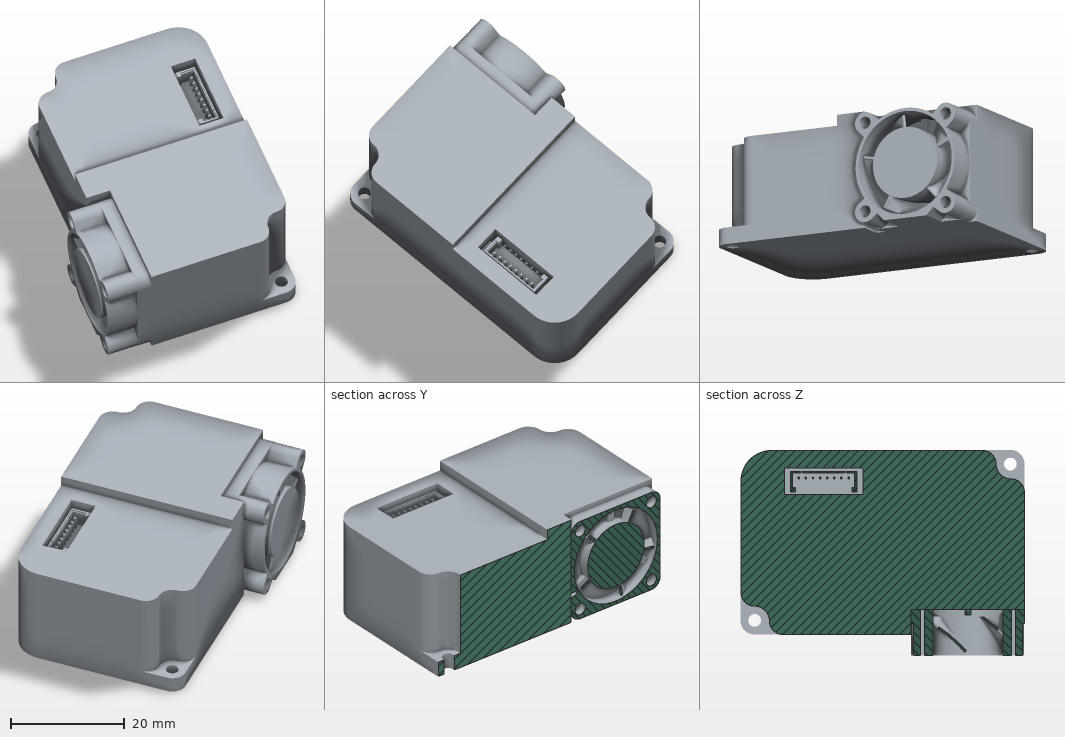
import cadquery as cq
import math

LENGTH = 50.0
WIDTH = 32.5
LOW_HEIGHT = 19.0
HIGH_HEIGHT = 21.0
STEP_X = 24.55
LARGE_CORNER_RADIUS = 5.5
SMALL_CORNER_RADIUS = 2.5
MOUNT_HOLE_DIAMETER = 2.25
EAR_HEIGHT = 3.0

FAN_SIZE = 20.0
FAN_DEPTH = 8.1
FAN_SEAT_DEPTH = 4.45
FLANGE_THICKNESS = 2.5
FAN_HOLE_SPACING = 16.0
FAN_HOLE_DIAMETER = 2.2
BORE_DIAMETER = 18.55
SHROUD_DIAMETER = 19.7
HUB_DIAMETER = 12.8
POST_RADIUS = 1.95
UPPER_WEB_ANGLE = 45.0
LOWER_WEB_ANGLE = 38.0
WEB_LENGTH = 5.0
FOOT_WIDTH = 8.4
FOOT_HEIGHT = 1.4
SPOKE_COUNT = 3
FIRST_SPOKE_ANGLE = 90.0
SPOKE_WIDTH = 1.2
SPOKE_THICKNESS = 1.0
BLADE_COUNT = 5
BLADE_TIP_RADIUS = 8.75
BLADE_EDGE_WIDTH = 0.55
BLADE_SWEEP = 47.0
BLADE_FRONT_GAP = 0.9
BLADE_DEPTH = 5.9
BLADE_ROOT_OVERLAP = 0.25
LEAD_SLOT_TOP = 5.95
LEAD_SLOT_RADIUS = 3.5

FAN_CORNER_RADIUS = (FAN_SIZE - FAN_HOLE_SPACING) / 2
FAN_CENTRE_X = LENGTH - FAN_SIZE / 2
FAN_CENTRE_Z = FAN_SIZE / 2

CONNECTOR_X = 14.6
POCKET_LENGTH = 13.7
POCKET_WIDTH = 4.6
POCKET_BACK_GAP = 3.2
POCKET_DEPTH = 5.0
SHELL_LENGTH = 11.8
SHELL_WIDTH = 3.75
SHELL_BACK_GAP = 0.5
SHELL_RECESS = 1.0
CAVITY_DEPTH = 3.0
END_WALL = 0.5
BACK_WALL = 0.35
END_RIM_WIDTH = 0.3
BACK_RIM_WIDTH = 0.2
RIM_DEPTH = 0.25
FRONT_LEDGE_WIDTH = 0.15
FRONT_OPENING_LENGTH = 9.85
CORNER_LIP_WIDTH = 0.9
KEY_GROOVE_SPACING = 7.75
KEY_GROOVE_WIDTH = 0.25
KEY_GROOVE_DEPTH = 0.2
WING_WIDTH = 2.8
WING_HEIGHT = 2.0
PIN_COUNT = 8
PIN_PITCH = 1.25
PIN_WIDTH = 0.35
PIN_LENGTH = 0.5
PIN_TIP_CHAMFER = 0.2
PIN_BACK_GAP = 1.2
PIN_TOP_RECESS = 0.6
TAIL_HEIGHT = 1.5

POCKET_FLOOR_Z = LOW_HEIGHT - POCKET_DEPTH
POCKET_BACK_Y = WIDTH - POCKET_BACK_GAP
POCKET_FRONT_Y = POCKET_BACK_Y - POCKET_WIDTH
SHELL_TOP_Z = LOW_HEIGHT - SHELL_RECESS
SHELL_BACK_Y = POCKET_BACK_Y - SHELL_BACK_GAP
SHELL_FRONT_Y = SHELL_BACK_Y - SHELL_WIDTH
CAVITY_FLOOR_Z = SHELL_TOP_Z - CAVITY_DEPTH


def box_between(x_range, y_range, z_range):
    """Box given by its lower and upper limits along each axis."""
    sizes = [high - low for low, high in (x_range, y_range, z_range)]
    corner = (x_range[0], y_range[0], z_range[0])
    return cq.Workplane("XY").box(*sizes, centered=False).translate(corner)


def centred_range(centre, size):
    return (centre - size / 2, centre + size / 2)


def corner_relief():
    """Wavy cutter over the mounting ear at the origin corner: concave round the hole, convex at both ends."""
    r = SMALL_CORNER_RADIUS
    diagonal = r * math.sqrt(0.5)
    return (
        cq.Workplane("XY", origin=(0, 0, EAR_HEIGHT))
        .moveTo(0, 3 * r)
        .threePointArc((r - diagonal, 3 * r - diagonal), (r, 2 * r))
        .threePointArc((r + diagonal, r + diagonal), (2 * r, r))
        .threePointArc((3 * r - diagonal, r - diagonal), (3 * r, 0))
        .lineTo(0, 0)
        .close()
        .extrude(HIGH_HEIGHT - EAR_HEIGHT)
    )


def make_housing():
    body = box_between((0, LENGTH), (0, WIDTH), (0, HIGH_HEIGHT))
    body = body.edges("|Z and <X and >Y").fillet(LARGE_CORNER_RADIUS)
    for corner in ("<X and <Y", ">X and >Y"):
        body = body.edges("|Z").edges(corner).fillet(SMALL_CORNER_RADIUS)
    body = body.cut(box_between((0, STEP_X), (0, WIDTH), (LOW_HEIGHT, HIGH_HEIGHT)))

    relief = corner_relief()
    opposite_relief = relief.rotate((0, 0, 0), (0, 0, 1), 180).translate((LENGTH, WIDTH, 0))
    body = body.cut(relief).cut(opposite_relief)

    inset = SMALL_CORNER_RADIUS
    mount_holes = (
        cq.Workplane("XY")
        .pushPoints([(inset, inset), (LENGTH - inset, WIDTH - inset)])
        .circle(MOUNT_HOLE_DIAMETER / 2)
        .extrude(HIGH_HEIGHT)
    )
    fan_seat = box_between((LENGTH - FAN_SIZE, LENGTH), (0, FAN_SEAT_DEPTH), (0, HIGH_HEIGHT))
    connector_pocket = box_between(
        centred_range(CONNECTOR_X, POCKET_LENGTH),
        (POCKET_FRONT_Y, POCKET_BACK_Y),
        (POCKET_FLOOR_Z, LOW_HEIGHT),
    )
    return body.cut(mount_holes).cut(fan_seat).cut(connector_pocket)


def fan_plane(height=0.0):
    """Sketch plane across the fan axis, at a height above the back of the fan, facing the front."""
    return cq.Workplane("XZ", origin=(FAN_CENTRE_X, FAN_SEAT_DEPTH - height, FAN_CENTRE_Z))


def spin(shape, angle):
    """Turn a shape about the fan axis, counter-clockwise as seen from the front."""
    axis_start = (FAN_CENTRE_X, 0, FAN_CENTRE_Z)
    axis_end = (FAN_CENTRE_X, -1, FAN_CENTRE_Z)
    return shape.rotate(axis_start, axis_end, angle)


def make_flange():
    flange = fan_plane().rect(FAN_SIZE, FAN_SIZE).extrude(FLANGE_THICKNESS)
    flange = flange.edges("|Y").fillet(FAN_CORNER_RADIUS)
    half_spacing = FAN_HOLE_SPACING / 2
    slot_height = LEAD_SLOT_TOP - FAN_CORNER_RADIUS
    slot = (
        fan_plane()
        .rect(half_spacing, slot_height, centered=False)
        .extrude(FLANGE_THICKNESS)
        .translate((-FAN_SIZE / 2, 0, -half_spacing))
    )
    corner_disc = fan_plane().center(-half_spacing, -half_spacing).circle(LEAD_SLOT_RADIUS)
    return flange.cut(slot.cut(corner_disc.extrude(FLANGE_THICKNESS)))


def make_posts():
    """Round corner posts, each joined to the shroud by a web as wide as the post."""
    half_spacing = FAN_HOLE_SPACING / 2
    posts = cq.Workplane("XZ")
    for side_z, angle in ((1, UPPER_WEB_ANGLE), (-1, LOWER_WEB_ANGLE)):
        for side_x in (-1, 1):
            direction = math.radians(angle)
            run = -side_x * math.cos(direction)
            rise = -side_z * math.sin(direction)
            turn = math.degrees(math.atan2(rise, run))
            post_x = side_x * half_spacing
            post_z = side_z * half_spacing
            post = fan_plane().center(post_x, post_z).circle(POST_RADIUS).extrude(FAN_DEPTH)
            web = (
                fan_plane()
                .transformed(offset=(post_x, post_z, 0), rotate=(0, 0, turn))
                .center(WEB_LENGTH / 2, 0)
                .rect(WEB_LENGTH, 2 * POST_RADIUS)
                .extrude(FAN_DEPTH)
            )
            posts = posts.add(post).add(web)
    return posts.combine()


def make_foot():
    """Flat-bottomed block under the shroud, with sides that spread upward at 45 degrees."""
    bottom = -FAN_SIZE / 2
    half_width = FOOT_WIDTH / 2
    return (
        fan_plane()
        .moveTo(-half_width, bottom)
        .lineTo(half_width, bottom)
        .lineTo(half_width + FOOT_HEIGHT, bottom + FOOT_HEIGHT)
        .lineTo(0, 0)
        .lineTo(-half_width - FOOT_HEIGHT, bottom + FOOT_HEIGHT)
        .close()
        .extrude(FAN_DEPTH)
    )


def make_frame():
    frame = fan_plane().circle(SHROUD_DIAMETER / 2).extrude(FAN_DEPTH)
    frame = frame.union(make_flange()).union(make_posts()).union(make_foot())
    bore = fan_plane().circle(BORE_DIAMETER / 2).extrude(FAN_DEPTH)
    corner_holes = (
        fan_plane()
        .rect(FAN_HOLE_SPACING, FAN_HOLE_SPACING, forConstruction=True)
        .vertices()
        .circle(FAN_HOLE_DIAMETER / 2)
        .extrude(FAN_DEPTH)
    )
    return frame.cut(bore).cut(corner_holes)


def make_blade():
    """Helical blade with a round leading edge; the front of its trailing edge points along +X."""
    root_radius = HUB_DIAMETER / 2 - BLADE_ROOT_OVERLAP
    span = BLADE_TIP_RADIUS - root_radius
    leading_height = FAN_DEPTH - BLADE_FRONT_GAP
    blade = (
        fan_plane(leading_height - BLADE_DEPTH)
        .moveTo(root_radius, 0)
        .hLineTo(BLADE_TIP_RADIUS)
        .vLine(-BLADE_EDGE_WIDTH)
        .hLineTo(root_radius)
        .close()
        .twistExtrude(BLADE_DEPTH, -BLADE_SWEEP)
    )
    edge_start = (
        FAN_CENTRE_X + root_radius,
        FAN_SEAT_DEPTH - leading_height,
        FAN_CENTRE_Z - BLADE_EDGE_WIDTH / 2,
    )
    edge = cq.Workplane("YZ", origin=edge_start).circle(BLADE_EDGE_WIDTH / 2).extrude(span)
    return blade.union(spin(edge, -BLADE_SWEEP))


def make_fan():
    fan = make_frame()
    fan = fan.union(fan_plane().circle(HUB_DIAMETER / 2).extrude(FAN_DEPTH))
    spoke_length = (BORE_DIAMETER + SHROUD_DIAMETER) / 4
    spoke = fan_plane().center(spoke_length / 2, 0).rect(spoke_length, SPOKE_WIDTH).extrude(SPOKE_THICKNESS)
    for i in range(SPOKE_COUNT):
        fan = fan.union(spin(spoke, FIRST_SPOKE_ANGLE + i * 360 / SPOKE_COUNT))
    blade = make_blade()
    for i in range(BLADE_COUNT):
        fan = fan.union(spin(blade, i * 360 / BLADE_COUNT))
    return fan


def make_shell():
    """Open-topped shell with a rebated rim, a wide front opening and two key grooves."""
    shell = box_between(
        centred_range(CONNECTOR_X, SHELL_LENGTH),
        (SHELL_FRONT_Y, SHELL_BACK_Y),
        (POCKET_FLOOR_Z, SHELL_TOP_Z),
    )
    lip_back_y = SHELL_FRONT_Y + CORNER_LIP_WIDTH
    cavity_back_y = SHELL_BACK_Y - BACK_WALL
    cavity_z = (CAVITY_FLOOR_Z, SHELL_TOP_Z)
    cavity = box_between(
        centred_range(CONNECTOR_X, SHELL_LENGTH - 2 * END_WALL),
        (lip_back_y, cavity_back_y),
        cavity_z,
    )
    front_opening = box_between(
        centred_range(CONNECTOR_X, FRONT_OPENING_LENGTH),
        (SHELL_FRONT_Y, lip_back_y),
        cavity_z,
    )
    rim = box_between(
        centred_range(CONNECTOR_X, SHELL_LENGTH - 2 * END_RIM_WIDTH),
        (lip_back_y, SHELL_BACK_Y - BACK_RIM_WIDTH),
        (SHELL_TOP_Z - RIM_DEPTH, SHELL_TOP_Z),
    )
    front_ledge = box_between(
        centred_range(CONNECTOR_X, SHELL_LENGTH),
        (SHELL_FRONT_Y, SHELL_FRONT_Y + FRONT_LEDGE_WIDTH),
        (SHELL_TOP_Z - RIM_DEPTH, SHELL_TOP_Z),
    )
    shell = shell.cut(cavity).cut(front_opening).cut(rim).cut(front_ledge)
    for side in (-1, 1):
        groove_x = CONNECTOR_X + side * KEY_GROOVE_SPACING / 2
        groove = box_between(
            centred_range(groove_x, KEY_GROOVE_WIDTH),
            (cavity_back_y, cavity_back_y + KEY_GROOVE_DEPTH),
            cavity_z,
        )
        shell = shell.cut(groove)
    return shell


def make_connector():
    connector = make_shell()
    wing_length = (POCKET_LENGTH - SHELL_LENGTH) / 2
    for side in (-1, 1):
        wing_x = CONNECTOR_X + side * (SHELL_LENGTH + wing_length) / 2
        wing = box_between(
            centred_range(wing_x, wing_length),
            (SHELL_BACK_Y - WING_WIDTH, SHELL_BACK_Y),
            (POCKET_FLOOR_Z, POCKET_FLOOR_Z + WING_HEIGHT),
        )
        connector = connector.union(wing)
    for i in range(PIN_COUNT):
        pin_x = centred_range(CONNECTOR_X + (i - (PIN_COUNT - 1) / 2) * PIN_PITCH, PIN_WIDTH)
        pin_y = centred_range(SHELL_BACK_Y - PIN_BACK_GAP, PIN_LENGTH)
        pin = box_between(pin_x, pin_y, (POCKET_FLOOR_Z, SHELL_TOP_Z - PIN_TOP_RECESS))
        pin = pin.faces(">Z").edges("<Y").chamfer(PIN_TIP_CHAMFER)
        tail = box_between(
            pin_x,
            (POCKET_FRONT_Y, SHELL_FRONT_Y),
            (POCKET_FLOOR_Z, POCKET_FLOOR_Z + TAIL_HEIGHT),
        )
        connector = connector.union(pin).union(tail)
    return connector


housing = make_housing()
fan = make_fan()
connector = make_connector()

result = cq.Compound.makeCompound([housing.val(), fan.val(), connector.val()])